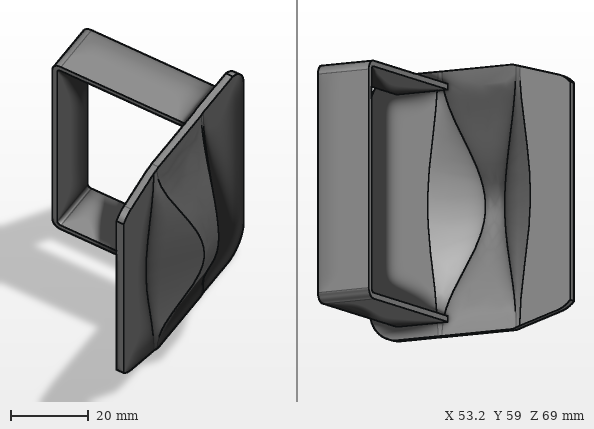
import cadquery as cq
import math

total_depth = 53.2
plate_width = 59.0
plate_height = 69.0
half_width = plate_width / 2
half_height = plate_height / 2

plate_thickness = 2.15
corner_radius = 8.0
taper_start_y = -12.5
taper_end_y = -25.75
taper_end_z = 30.8
clipped_corner_z = 28.4
clipped_corner_radius = 7.95

upper_arc_width = 5.4
upper_arc_height = math.sqrt(corner_radius**2 - (corner_radius - upper_arc_width) ** 2)

strap_height = 62.1
strap_wall = 1.5
strap_top_y = 21.5
strap_width = 15.05
bend_inner_radius = 1.05
bend_outer_radius = bend_inner_radius + strap_wall

dish_depth = 9.6
end_depth = 0.15
mouth_mid = (-17.8, 12.5)
mouth_end = (-14.6, 9.5)
floor_mid = (-4.8, 0.8)
floor_end = (-13.45, 8.4)
wall_offset = 0.7
section_count = 13

plate_back = total_depth - dish_depth
plate_front = plate_back - plate_thickness


def blend(end_value, mid_value, z):
    """Cosine blend from the plate's upper and lower edges to mid height."""
    share = (1 + math.cos(math.pi * z / half_height)) / 2
    return end_value + (mid_value - end_value) * share


def dish_solid(mouth_x, spread):
    """Loft of trapezoids with the mouth at mouth_x, widened by spread at mid height."""
    sections = []
    for index in range(section_count):
        z = -half_height + plate_height * index / (section_count - 1)
        floor_x = mouth_x + blend(end_depth, dish_depth, z)
        widening = blend(0, spread, z)
        points = [
            (mouth_x, blend(mouth_end[0], mouth_mid[0], z) - widening),
            (floor_x, blend(floor_end[0], floor_mid[0], z) - widening),
            (floor_x, blend(floor_end[1], floor_mid[1], z) + widening),
            (mouth_x, blend(mouth_end[1], mouth_mid[1], z) + widening),
        ]
        corners = [cq.Vector(x, y, z) for x, y in points]
        sections.append(cq.Wire.makePolygon(corners, close=True))
    return cq.Workplane(cq.Solid.makeLoft(sections))


def plate_prism(length):
    """Plate outline extruded along +X from the plate's handle side."""
    upper_arc_y = half_width - upper_arc_width
    upper_arc_z = half_height - upper_arc_height
    lower_arc_z = -half_height + corner_radius
    return (
        cq.Workplane("YZ", origin=(plate_front, 0, 0))
        .moveTo(upper_arc_y, half_height)
        .lineTo(taper_start_y, half_height)
        .lineTo(taper_end_y, taper_end_z)
        .radiusArc((-half_width, clipped_corner_z), -clipped_corner_radius)
        .lineTo(-half_width, -clipped_corner_z)
        .radiusArc((taper_end_y, -taper_end_z), -clipped_corner_radius)
        .lineTo(taper_start_y, -half_height)
        .lineTo(half_width - corner_radius, -half_height)
        .radiusArc((half_width, lower_arc_z), -corner_radius)
        .lineTo(half_width, upper_arc_z)
        .radiusArc((upper_arc_y, half_height), -corner_radius)
        .close()
        .extrude(length)
    )


def strap():
    """U-shaped handle bent from flat strip, open towards the plate."""
    outer = (
        cq.Workplane("XY")
        .box(plate_front, strap_width, strap_height, centered=(False, False, True))
        .edges("|Y and <X")
        .fillet(bend_outer_radius)
    )
    inner = (
        cq.Workplane("XY", origin=(strap_wall, 0, 0))
        .box(plate_front, strap_width, strap_height - 2 * strap_wall, centered=(False, False, True))
        .edges("|Y and <X")
        .fillet(bend_inner_radius)
    )
    return outer.cut(inner).translate((0, strap_top_y - strap_width, 0))


bulge = dish_solid(plate_back, wall_offset).intersect(plate_prism(total_depth))
hollow = dish_solid(plate_front, 0)
result = plate_prism(plate_thickness).union(bulge).cut(hollow).union(strap())